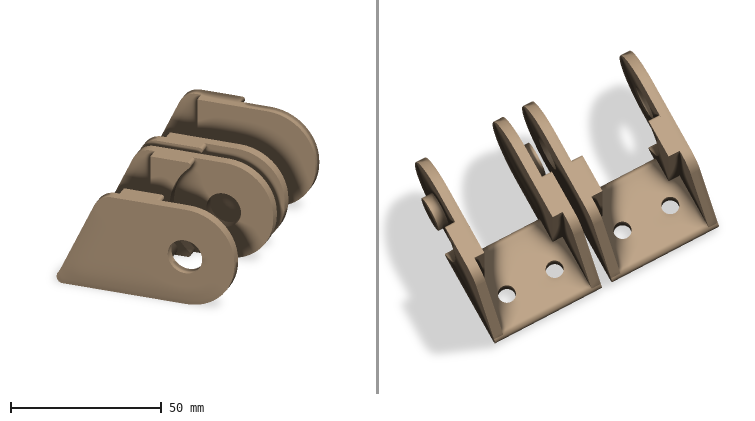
import cadquery as cq


length = 62.9
width = 40.25
height = 35.0

total_width = 84.42
female_offset_x = 0.1
male_offset_y = total_width - width

base_thickness = 4.5
base_length = 30.5
base_edge_radius = 2.0
screw_hole_diameter = 6.0
screw_spacing = 18.0
male_screw_x = 12.4
female_screw_x = 13.4

plate_thickness = 3.5
slope_foot_x = 0.8
slope_foot_z = 4.1
slope_top_x = 15.15
slope_top_radius = 7.0

block_start_x = 21.0
block_waist_x = 27.75
block_arc_radius = 21.0
block_tip_radius = 1.0
block_arc_center_x = block_waist_x + block_arc_radius
block_split_x = (block_start_x + block_waist_x) / 2

nose_radius = 17.0
pivot_x = length - height / 2
pivot_z = height / 2
pivot_diameter = 12.2
male_ear_inset = 3.75
male_block_thickness = male_ear_inset + plate_thickness
female_block_thickness = 7.65


def extrude_y(sketch, y_start, thickness):
    """Extrude an XZ sketch toward +Y, starting at y_start."""
    return sketch.extrude(-thickness).translate((0, y_start, 0))


def pivot_cylinder(y_start, thickness):
    sketch = cq.Workplane("XZ").center(pivot_x, pivot_z).circle(pivot_diameter / 2)
    return extrude_y(sketch, y_start, thickness)


def base_plate(screw_x):
    """Floor of the bracket with its two screw holes."""
    plate = cq.Workplane("XY").box(base_length, width, base_thickness, centered=False)
    plate = plate.edges("|Y").fillet(base_edge_radius)
    screw_points = [(screw_x, width / 2 + side * screw_spacing / 2) for side in (-1, 1)]
    screws = cq.Workplane("XY").pushPoints(screw_points).circle(screw_hole_diameter / 2)
    return plate.cut(screws.extrude(base_thickness))


def sloped_plate(y_start):
    """Front part of a side plate; it ends inside the block."""
    outline = (
        cq.Workplane("XZ")
        .moveTo(base_edge_radius, 0)
        .lineTo(block_split_x, 0)
        .lineTo(block_split_x, height)
        .lineTo(slope_top_x, height)
        .lineTo(slope_foot_x, slope_foot_z)
        .lineTo(base_edge_radius, base_edge_radius)
        .close()
    )
    plate = extrude_y(outline, y_start, plate_thickness)
    slope_top = cq.selectors.NearestToPointSelector(
        (slope_top_x, y_start + plate_thickness / 2, height)
    )
    return plate.edges("|Y").edges(slope_top).fillet(slope_top_radius)


def block(y_start, thickness):
    """Full-height block whose back face is a concave arc with rounded tips."""
    arc_rise = (block_arc_radius**2 - (height / 2) ** 2) ** 0.5
    tip_x = block_arc_center_x - arc_rise
    outline = (
        cq.Workplane("XZ")
        .moveTo(block_start_x, 0)
        .lineTo(tip_x, 0)
        .threePointArc((block_waist_x, pivot_z), (tip_x, height))
        .lineTo(block_start_x, height)
        .close()
    )
    body = extrude_y(outline, y_start, thickness)
    return body.edges("|Y and >X").fillet(block_tip_radius)


def ear(y_start):
    """Rear part of a side plate with a rounded nose; it starts inside the block."""
    plate = cq.Workplane("XY").box(length - block_split_x, plate_thickness, height, centered=False)
    plate = plate.translate((block_split_x, y_start, 0))
    return plate.edges("|Y and >X").fillet(nose_radius)


def side(block_thickness, ear_inset):
    """One complete side, standing on Y = 0 with its inner face toward +Y."""
    return sloped_plate(0).union(block(0, block_thickness)).union(ear(ear_inset))


def bracket(screw_x, near_side):
    """Base plate with a side at Y = 0 and its mirror image at the full width."""
    far_side = near_side.mirror("XZ").translate((0, width, 0))
    return base_plate(screw_x).union(near_side).union(far_side)


def male_bracket():
    pin = pivot_cylinder(0, male_ear_inset)
    near_side = side(male_block_thickness, male_ear_inset).union(pin)
    return bracket(male_screw_x, near_side).translate((0, male_offset_y, 0))


def female_bracket():
    pin_hole = pivot_cylinder(0, plate_thickness)
    near_side = side(female_block_thickness, 0).cut(pin_hole)
    return bracket(female_screw_x, near_side).translate((female_offset_x, 0, 0))


male = male_bracket()
female = female_bracket()

result = cq.Compound.makeCompound([male.solids().val(), female.solids().val()])